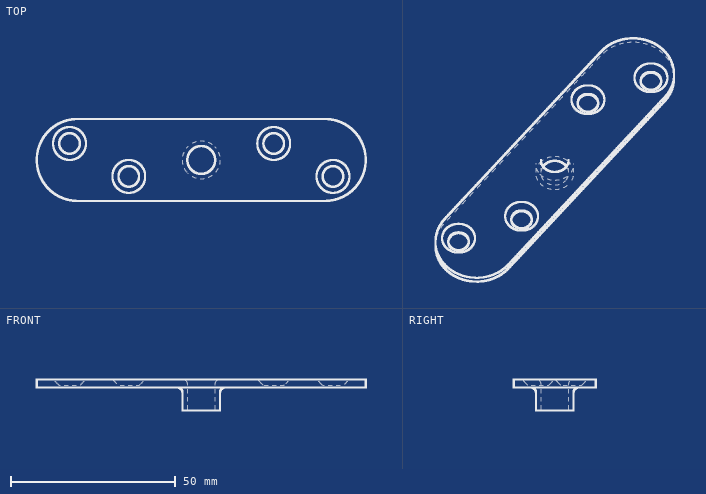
import cadquery as cq

plate_length = 100.0
plate_width = 25.0
plate_thickness = 2.5

total_height = 9.5
collar_diameter = 11.5
collar_root_fillet = 1.5
bore_diameter = 8.4
bore_mouth_radius = 1.5

screw_diameter = 6.2
countersink_diameter = 10.0
countersink_angle = 90.0
outer_screw_x = 40.0
inner_screw_x = 22.0
screw_y = 5.0
screw_positions = [
    (-outer_screw_x, screw_y),
    (-inner_screw_x, -screw_y),
    (inner_screw_x, screw_y),
    (outer_screw_x, -screw_y),
]


def make_plate():
    outline = cq.Workplane("XY").slot2D(plate_length, plate_width)
    return outline.extrude(-plate_thickness)


def make_collar():
    """Revolved stem whose outside flares into the plate underside."""
    radius = collar_diameter / 2
    root_radius = radius + collar_root_fillet
    fillet_end_z = -plate_thickness - collar_root_fillet
    return (
        cq.Workplane("XZ")
        .lineTo(root_radius, 0)
        .lineTo(root_radius, -plate_thickness)
        .radiusArc((radius, fillet_end_z), -collar_root_fillet)
        .lineTo(radius, -total_height)
        .lineTo(0, -total_height)
        .close()
        .revolve(360, (0, 0, 0), (0, 1, 0))
    )


def make_bore():
    """Revolved through bore with a rounded mouth at the plate top."""
    radius = bore_diameter / 2
    return (
        cq.Workplane("XZ")
        .lineTo(radius + bore_mouth_radius, 0)
        .radiusArc((radius, -bore_mouth_radius), -bore_mouth_radius)
        .lineTo(radius, -total_height)
        .lineTo(0, -total_height)
        .close()
        .revolve(360, (0, 0, 0), (0, 1, 0))
    )


body = make_plate().union(make_collar()).cut(make_bore())
result = (
    body.faces(">Z")
    .workplane(origin=(0, 0, 0))
    .pushPoints(screw_positions)
    .cskHole(screw_diameter, countersink_diameter, countersink_angle)
)